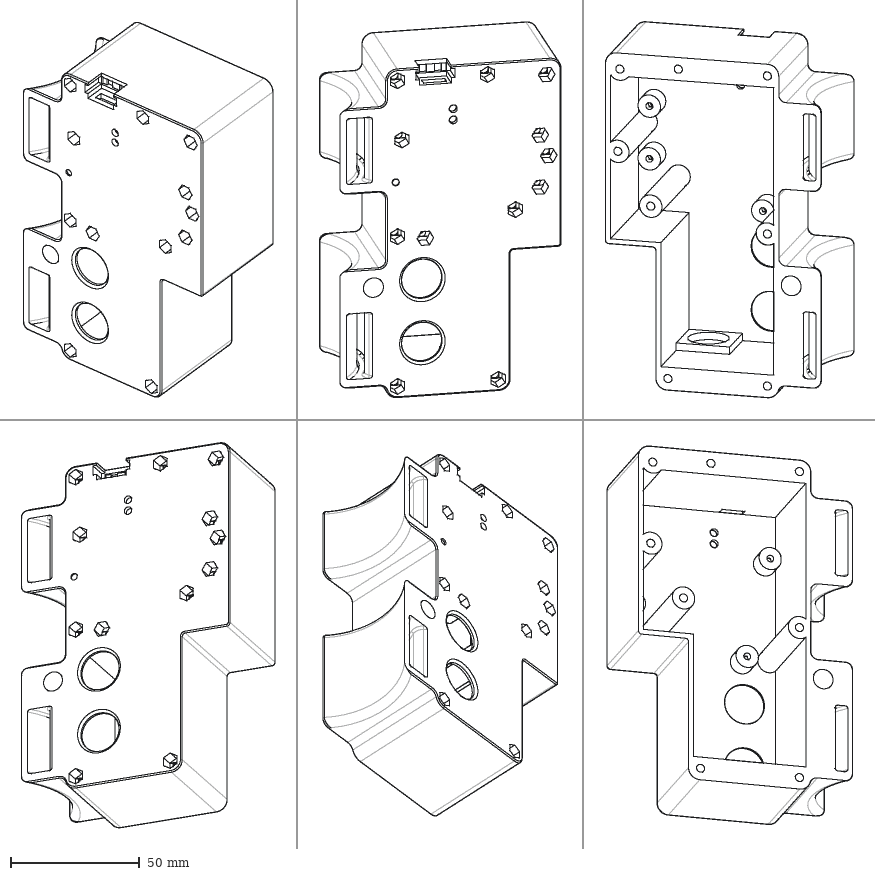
import cadquery as cq
import math


depth = 44.7
height = 135
right_edge = 88.0
left_edge = 18.4
notch_edge = 67.8
notch_height = 57.5
corner_diameter = 9.0
corner_radius = corner_diameter / 2
small_corner_radius = 1.4
front_bevel = 0.5

lug_spans = [(5.3, 53.9), (84.9, 120.0)]
lug_back_edge = 1.5
lug_overlap = 6.8
lug_fillet = 3.0
post_radius = 33.9
post_y = 22.8
post_x = -math.sqrt(post_radius**2 - post_y**2)
rim_front = post_y + math.sqrt(post_radius**2 - (lug_back_edge - post_x) ** 2)
rim_inner_edge = 10.8

slot_spans = [(8.9, 35.9), (89.1, 116.1)]
slot_edge = 13.0
entry_bevel = 1.1
nose_radius = 4
slot_fillet = 1.0
web = 2.0

wall = 2.0
end_margin = 9.3
step_edge = 44.3
step_back = 21.5
step_height = 3.0
step_recess_diameter = 16.0
step_recess = (55.4, 11.9)

small_hole_diameter = 3.1
small_holes = [(45.1, 117.2), (45.1, 112.6)]
dimple_diameter = 2.7
dimple_depth = 0.7
dimple = (22.3, 88.5)
lug_hole_diameter = 8.0
lug_hole = (13.4, 46.0)
button_diameter = 16.0
button_chamfer = 1.01
button_holes = [(32.8, 22.0), (32.8, 47.9)]

nut_corner_diameter = 6.5
nut_depth = 6.1
bridge_layer = 0.4
boss_diameter = 9.0
board_boss_length = 10.0
cover_hole_diameter = 3.2
board_hole_diameter = 2.7
cover_screws = [
    (23, 130.3, 90),
    (58.7, 130.3, 90),
    (69.8, 74.0, 90),
    (23, 66.3, 90),
    (23, 4.7, 90),
    (62.9, 4.7, 90),
    (82.2, 128.5, 0),
    (83.0, 95.2, 0),
]
board_screws = [(24.7, 105.8, 90), (79.6, 103.8, 0), (79.6, 82.5, 0), (34.0, 64.8, 0)]

notch_span = (31.7, 44.3)
notch_floor = 127.8
notch_depth = 8.6
groove_reach = 1.5
groove_span = (130.0, 133.8)
recess_span = (129.7, 133.2)
recess_depth = 1.0
window_lefts = [33.8, 39.7]
window_width = 2.7
window_depth = 1.9
cable_hole_x = (33.8, 42.9)
cable_hole_y = (2.3, 5.7)


def block(x_span, y_span, z_span):
    spans = (x_span, y_span, z_span)
    sizes = [end - start for start, end in spans]
    corner = tuple(start for start, end in spans)
    return cq.Workplane("XY").box(*sizes, centered=False).translate(corner)


def rod(place, diameter, start, end):
    """Cylinder along Y at (x, z), from y = start to y = end."""
    x, z = place
    return cq.Workplane("XZ", origin=(x, start, z)).circle(diameter / 2).extrude(start - end)


def edge_along_y(x, z):
    """Selector for the edge along Y that passes through (x, z)."""
    reach = 0.1
    return cq.selectors.BoxSelector((x - reach, 0, z - reach), (x + reach, depth, z + reach))


def post_angle(radius, y):
    """Angle at which a circle around the post axis reaches y."""
    return math.asin((y - post_y) / radius)


def post_point(radius, angle):
    return (post_x + radius * math.cos(angle), post_y + radius * math.sin(angle))


def lug(span):
    """Lug whose hollow face stops at the front of the back rim."""
    bottom, top = span
    inner_edge = left_edge + lug_overlap
    plan = (
        cq.Workplane("XY", origin=(0, 0, bottom))
        .moveTo(0, 0)
        .threePointArc(post_point(post_radius, 0), (lug_back_edge, rim_front))
        .lineTo(rim_inner_edge, rim_front)
        .lineTo(rim_inner_edge, depth)
        .lineTo(inner_edge, depth)
        .lineTo(inner_edge, 0)
        .close()
    )
    return plan.extrude(top - bottom)


def outer_body():
    tall = block((left_edge, notch_edge), (0, depth), (0, height))
    tall = tall.edges("|Y and (<X or <Z)").fillet(corner_radius)
    wide = block((left_edge + lug_overlap, right_edge), (0, depth), (notch_height, height))
    wide = wide.edges("|Y and >X and >Z").fillet(corner_radius)
    wide = wide.edges("|Y and >X and <Z").fillet(small_corner_radius)
    body = tall.union(wide)
    body = body.edges("|Y").edges(edge_along_y(notch_edge, notch_height)).fillet(small_corner_radius)
    for span in lug_spans:
        body = body.union(lug(span))
    for span in lug_spans:
        for level in span:
            body = body.edges("|Y").edges(edge_along_y(left_edge, level)).fillet(lug_fillet)
    body = body.faces("<Y").edges("not <X").chamfer(front_bevel)
    body = body.edges(cq.selectors.RadiusNthSelector(-1)).fillet(lug_fillet)
    for span in lug_spans:
        rim = block((lug_back_edge, rim_inner_edge), (rim_front, depth), span)
        body = body.union(rim.edges("|Y and <X").fillet(lug_fillet))
    return body


def cavity():
    upper = block(
        (left_edge + wall, right_edge - wall),
        (wall, depth),
        (notch_height + wall, height - end_margin),
    )
    lower = block(
        (left_edge + wall, notch_edge - wall),
        (wall, depth),
        (end_margin, notch_height + wall),
    )
    step = block(
        (step_edge, notch_edge - wall),
        (wall, step_back),
        (end_margin, end_margin + step_height),
    )
    recess = (
        cq.Workplane("XY", origin=(*step_recess, end_margin))
        .circle(step_recess_diameter / 2)
        .extrude(step_height)
    )
    step = step.cut(recess)
    return upper.union(lower).cut(step)


def strap_slot(span):
    """Curved slot behind the web, entered from the front past a rounded nose on its inner side."""
    bottom, top = span
    web_radius = post_radius + web

    diagonal = math.sqrt(0.5)
    nose_x = slot_edge - entry_bevel + nose_radius * diagonal
    nose_y = entry_bevel + nose_radius * diagonal
    inner_wall_radius = math.hypot(nose_x - post_x, nose_y - post_y) - nose_radius
    nose_angle = math.atan2(nose_y - post_y, nose_x - post_x)

    web_front = post_point(web_radius, post_angle(web_radius, 0))
    web_middle = post_point(web_radius, 0)
    web_back = post_point(web_radius, post_angle(web_radius, depth))
    inner_back = post_point(inner_wall_radius, post_angle(inner_wall_radius, depth))
    inner_middle = post_point(inner_wall_radius, 0)
    nose_end = post_point(inner_wall_radius, nose_angle)
    plan = (
        cq.Workplane("XY", origin=(0, 0, bottom))
        .moveTo(*web_front)
        .threePointArc(web_middle, web_back)
        .lineTo(*inner_back)
        .threePointArc(inner_middle, nose_end)
        .threePointArc((nose_x - nose_radius, nose_y), (slot_edge - entry_bevel, entry_bevel))
        .lineTo(slot_edge, 0)
        .close()
    )
    return plan.extrude(top - bottom).edges("%CIRCLE").fillet(slot_fillet)


def button_hole(place):
    x, z = place
    hole = rod(place, button_diameter, 0, wall)
    radius = button_diameter / 2
    inward = cq.Vector(0, 1, 0)
    cone = cq.Solid.makeCone(radius + button_chamfer, radius, button_chamfer, cq.Vector(x, 0, z), inward)
    return hole.union(cq.Workplane(cone))


def nut_pocket(screw):
    x, z, angle = screw
    return (
        cq.Workplane("XZ", origin=(x, 0, z))
        .transformed(rotate=(0, 0, angle))
        .polygon(6, nut_corner_diameter)
        .extrude(-nut_depth)
    )


def bridge_slot(screw, width):
    """Shallow slot on the floor of the nut pocket, as wide as the screw hole."""
    x, z = screw[:2]
    floor = cq.Workplane("XZ", origin=(x, nut_depth, z))
    strip = floor.rect(nut_corner_diameter, width).extrude(-bridge_layer)
    return strip.intersect(nut_pocket(screw).translate((0, bridge_layer, 0)))


def bridge_square(screw, width):
    """Shallow square below the slot, as wide as the screw hole."""
    x, z = screw[:2]
    floor = cq.Workplane("XZ", origin=(x, nut_depth + bridge_layer, z))
    return floor.rect(width, width).extrude(-bridge_layer)


def add_boss(part, screw, end):
    return part.union(rod(screw[:2], boss_diameter, wall, end))


def cut_screw_hole(part, screw, diameter):
    part = part.cut(nut_pocket(screw))
    part = part.cut(bridge_slot(screw, diameter))
    return part.cut(rod(screw[:2], diameter, 0, depth))


def connector_notch():
    left, right = notch_span
    notch = block(notch_span, (0, notch_depth), (notch_floor, height))
    grooves = block((left - groove_reach, right + groove_reach), (0, notch_depth), groove_span)
    recess = block(notch_span, (0, notch_depth + recess_depth), recess_span)
    cable_hole = block(cable_hole_x, cable_hole_y, (height - end_margin, notch_floor))
    opening = notch.union(grooves).union(recess).union(cable_hole)
    for window_left in window_lefts:
        window_x = (window_left, window_left + window_width)
        opening = opening.union(block(window_x, (notch_depth, notch_depth + window_depth), recess_span))
    return opening


result = outer_body().cut(cavity())

for screw in cover_screws:
    result = add_boss(result, screw, depth)
for screw in board_screws:
    result = add_boss(result, screw, board_boss_length)

for screw in cover_screws:
    result = cut_screw_hole(result, screw, cover_hole_diameter)
    result = result.cut(bridge_square(screw, cover_hole_diameter))
for screw in board_screws:
    result = cut_screw_hole(result, screw, board_hole_diameter)

for place in small_holes:
    result = result.cut(rod(place, small_hole_diameter, 0, depth))
result = result.cut(rod(dimple, dimple_diameter, 0, dimple_depth))
result = result.cut(rod(lug_hole, lug_hole_diameter, 0, depth))
for place in button_holes:
    result = result.cut(button_hole(place))

for span in slot_spans:
    result = result.cut(strap_slot(span))
result = result.cut(connector_notch())